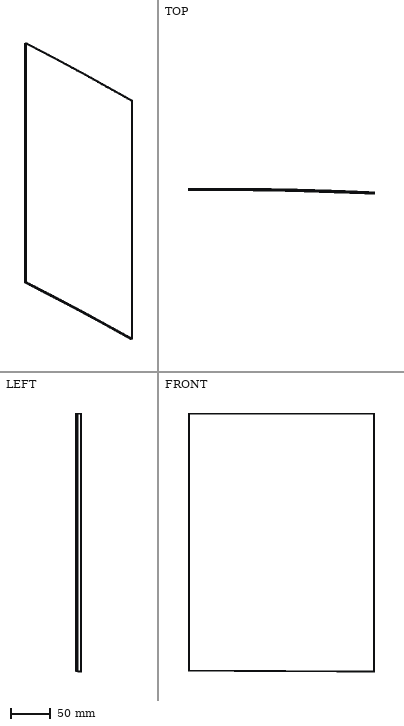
import cadquery as cq
import math

width = 236.42
height = 329.71
depth = 6.72
thickness = 2.0
left_setback = 0.15
end_flattening = 0.2
bottom_rise = 1.15

left_x = -width / 2
right_x = width / 2
top_z = height / 2
bottom_z = -height / 2
middle_z = 0
crest_y = depth / 2
left_y = crest_y - left_setback
right_setback = depth - thickness
right_y = crest_y - right_setback

middle_bow = (math.sqrt(left_setback) + math.sqrt(right_setback)) ** 2 / 4
end_bow = middle_bow - end_flattening


def section(left_z, right_z, bow):
    """Outline of the panel from the -X edge to the +X edge: two like arcs, one thickness apart."""
    back_left = cq.Vector(left_x, left_y, left_z)
    back_right = cq.Vector(right_x, right_y, right_z)
    back_middle = (back_left + back_right) / 2 + cq.Vector(0, bow, 0)
    to_front = cq.Vector(0, -thickness, 0)
    front_left = back_left + to_front
    front_right = back_right + to_front
    front_middle = back_middle + to_front
    edges = [
        cq.Edge.makeThreePointArc(back_left, back_middle, back_right),
        cq.Edge.makeLine(back_right, front_right),
        cq.Edge.makeThreePointArc(front_right, front_middle, front_left),
        cq.Edge.makeLine(front_left, back_left),
    ]
    return cq.Wire.assembleEdges(edges)


def curved_panel():
    """Smooth loft upward through the bottom, middle and top sections; both side edges stay straight."""
    sections = [
        section(bottom_z + bottom_rise, bottom_z, end_bow),
        section(middle_z, middle_z, middle_bow),
        section(top_z, top_z, end_bow),
    ]
    return cq.Workplane(cq.Solid.makeLoft(sections))


result = curved_panel()